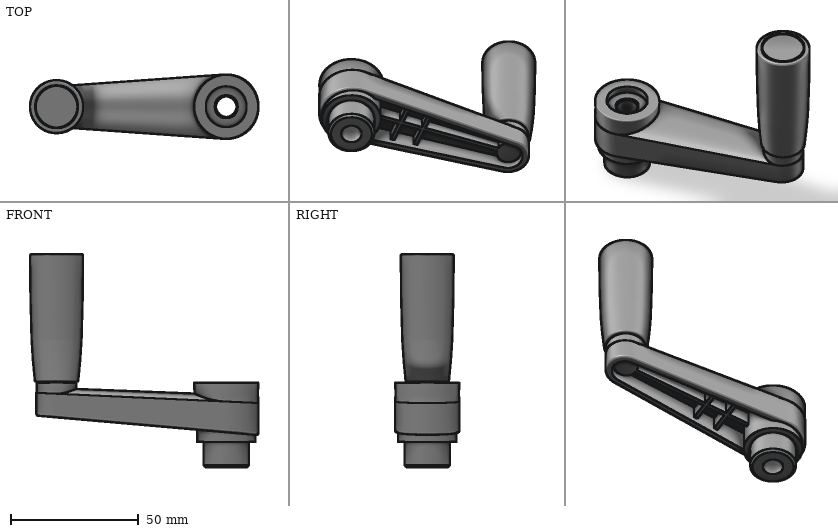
import cadquery as cq
import math


overall_length = 89.5
axis_distance = 66.4
small_radius = 15.9 / 2
large_radius = 25.3 / 2
arm_top = 33.2
taper_sine = (large_radius - small_radius) / axis_distance
taper_cosine = math.sqrt(1 - taper_sine**2)

upper_edge_height = 28.8
upper_slope = 0.046
lower_edge_height = 19.5
lower_slope = math.tan(math.radians(5))
lower_fillet = 1.0
crown_rise_small = 2.2
crown_rise_large = 2.7

waist_depth = 0.2
end_fillet = 0.5

wall = 2.5
rib_thickness = 1.5
rib_recess = 2.95
rib_spacing = 9.4
cross_rib_count = 2
pin_boss_radius = 9.5 / 2

shoulder_radius = 22.9 / 2
shoulder_height = 10.0
shaft_radius = 18.0 / 2
shaft_chamfer = 1.0
bore_radius = 8.0 / 2
bore_chamfer = 0.5
recess_radius = 16.0 / 2
recess_depth = 3.1

grip_bottom = 33.55
grip_seam = 50.0
grip_top = 83.5
grip_bottom_radius = 8.5
grip_lower_mid_radius = 9.3
grip_seam_radius = 9.8
grip_upper_mid_radius = 10.3
grip_top_radius = overall_length - axis_distance - large_radius
grip_top_fillet = 0.9
grip_bottom_fillet = 0.6
cap_radius = 16.3 / 2
cap_seat_radius = 16.8 / 2
cap_groove_depth = 0.45
pin_radius = 6.0 / 2
pin_end = 25.2


def upper_edge(x):
    return upper_edge_height - upper_slope * x


def lower_edge(x):
    return lower_edge_height - lower_slope * x


def arm_plan(inset):
    """Vertical block whose plan is two circles joined by their common tangents."""
    r1 = small_radius - inset
    r2 = large_radius - inset
    x1 = -r1 * taper_sine
    x2 = axis_distance - r2 * taper_sine
    y1 = r1 * taper_cosine
    y2 = r2 * taper_cosine
    return (
        cq.Workplane("XY")
        .moveTo(x1, y1)
        .threePointArc((-r1, 0), (x1, -y1))
        .lineTo(x2, -y2)
        .threePointArc((axis_distance + r2, 0), (x2, y2))
        .close()
        .extrude(arm_top)
    )


def sloping_slab(lower_raise, upper_drop):
    """Wedge between the lower and upper edge slopes, each moved into the arm."""
    left = -2 * small_radius
    right = axis_distance + 2 * large_radius
    return (
        cq.Workplane("XZ")
        .moveTo(left, lower_edge(left) + lower_raise)
        .lineTo(right, lower_edge(right) + lower_raise)
        .lineTo(right, upper_edge(right) - upper_drop)
        .lineTo(left, upper_edge(left) - upper_drop)
        .close()
        .extrude(large_radius, both=True)
    )


def crown_section(x, end_radius, rise):
    """Outline across the arm: an arc standing on the line between the two upper edges."""
    half_width = end_radius * taper_cosine
    edge = upper_edge(x)
    arc = cq.Edge.makeThreePointArc(
        cq.Vector(x, -half_width, edge),
        cq.Vector(x, 0, edge + rise),
        cq.Vector(x, half_width, edge),
    )
    chord = cq.Edge.makeLine(arc.endPoint(), arc.startPoint())
    return cq.Wire.assembleEdges([arc, chord])


def make_crown():
    """Rounded upper side of the arm, ruled between an arc at each end."""
    small_section = crown_section(-small_radius * taper_sine, small_radius, crown_rise_small)
    large_section = crown_section(
        axis_distance - large_radius * taper_sine, large_radius, crown_rise_large
    )
    return cq.Solid.makeLoft([small_section, large_section], True)


def round_end(x, radius):
    """Slightly waisted round end that rises above the arm, with a rounded rim."""
    base = upper_edge(x + radius)
    waist = (base + arm_top) / 2
    return (
        cq.Workplane("XZ", origin=(x, 0, 0))
        .moveTo(0, base)
        .lineTo(radius, base)
        .threePointArc((radius - waist_depth, waist), (radius, arm_top))
        .lineTo(0, arm_top)
        .close()
        .revolve(360, (0, 0), (0, 1))
        .faces(">Z")
        .edges()
        .fillet(end_fillet)
    )


def make_pocket():
    """Hollow of the underside, around the ribs and the boss that holds the grip pin."""
    under_cover = arm_plan(wall).intersect(sloping_slab(-arm_top, wall))
    hub_start = axis_distance - shoulder_radius
    ribs = cq.Workplane("XY").box(
        axis_distance, rib_thickness, arm_top, centered=(False, True, False)
    )
    for index in range(1, cross_rib_count + 1):
        cross_rib = (
            cq.Workplane("XY")
            .box(rib_thickness, 2 * large_radius, arm_top, centered=(True, True, False))
            .translate((hub_start - index * rib_spacing, 0, 0))
        )
        ribs = ribs.union(cross_rib)
    pin_boss = cq.Workplane("XY").circle(pin_boss_radius).extrude(arm_top)
    ribs = ribs.union(pin_boss).intersect(sloping_slab(rib_recess, 0))
    return under_cover.cut(ribs)


def make_hub():
    """Shoulder and drive shaft below the large end."""
    shoulder = (
        cq.Workplane("XY", origin=(axis_distance, 0, shoulder_height))
        .circle(shoulder_radius)
        .extrude(upper_edge(axis_distance + large_radius) - shoulder_height)
    )
    shaft = (
        cq.Workplane("XY", origin=(axis_distance, 0, 0))
        .circle(shaft_radius)
        .extrude(shoulder_height)
        .faces("<Z")
        .chamfer(shaft_chamfer)
    )
    return shoulder.union(shaft)


def make_bore():
    """Through bore with a round recess above it and a chamfered mouth."""
    floor = arm_top - recess_depth
    mouth = bore_radius + bore_chamfer
    return (
        cq.Workplane("XZ", origin=(axis_distance, 0, 0))
        .polyline(
            [
                (0, 0),
                (bore_radius, 0),
                (bore_radius, floor - bore_chamfer),
                (mouth, floor),
                (recess_radius, floor),
                (recess_radius, arm_top),
                (0, arm_top),
            ]
        )
        .close()
        .revolve(360, (0, 0), (0, 1))
    )


def make_pin_hole():
    return (
        cq.Workplane("XY", origin=(0, 0, pin_end))
        .circle(pin_radius)
        .extrude(arm_top - pin_end)
    )


def make_arm():
    beam = arm_plan(0).intersect(sloping_slab(0, 0))
    beam = beam.faces("<Z").edges().fillet(lower_fillet)
    arm = (
        beam.union(cq.Workplane(make_crown()))
        .union(round_end(0, small_radius))
        .union(round_end(axis_distance, large_radius))
    )
    return arm.cut(make_pocket()).union(make_hub()).cut(make_bore()).cut(make_pin_hole())


def make_grip():
    """Barrel-shaped grip with a cap groove in its top and a pin below."""
    lower_side = [
        (grip_lower_mid_radius, (grip_bottom + grip_seam) / 2),
        (grip_seam_radius, grip_seam),
    ]
    upper_side = [
        (grip_upper_mid_radius, (grip_seam + grip_top) / 2),
        (grip_top_radius, grip_top),
    ]
    barrel = (
        cq.Workplane("XZ")
        .moveTo(0, grip_bottom)
        .lineTo(grip_bottom_radius, grip_bottom)
        .spline(lower_side, includeCurrent=True)
        .spline(upper_side, includeCurrent=True)
        .lineTo(0, grip_top)
        .close()
        .revolve(360, (0, 0), (0, 1))
    )
    barrel = barrel.faces(">Z").edges().fillet(grip_top_fillet)
    barrel = barrel.faces("<Z").edges().fillet(grip_bottom_fillet)
    cap_groove = (
        cq.Workplane("XY", origin=(0, 0, grip_top))
        .circle(cap_seat_radius)
        .circle(cap_radius)
        .extrude(-cap_groove_depth)
    )
    pin = (
        cq.Workplane("XY", origin=(0, 0, pin_end))
        .circle(pin_radius)
        .extrude(grip_bottom - pin_end)
    )
    return barrel.cut(cap_groove).union(pin)


arm = make_arm()
grip = make_grip()
result = cq.Compound.makeCompound([arm.solids().val(), grip.solids().val()])